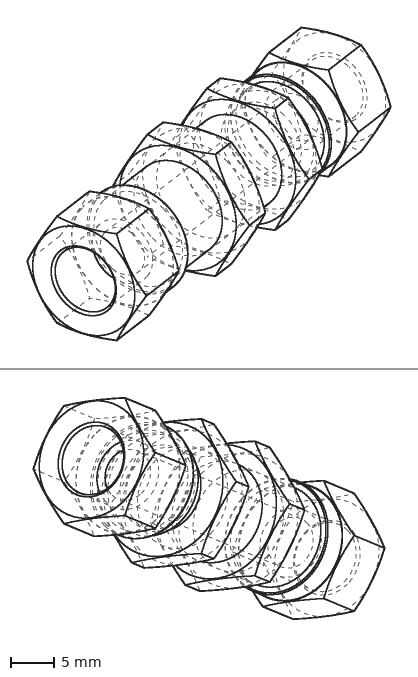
import cadquery as cq
import math

length = 55.15
half_length = length / 2

tube_diameter = 12.0
neck_diameter = 10.0
rear_thread_length = 2.4
relief_taper_length = (tube_diameter - neck_diameter) / 2
neck_length = 1.45

end_hex_flats = 14.0
end_hex_length = 8.5
collar_diameter = 13.75
collar_length = 3.5
collar_chamfer = 0.15

flange_flats = 16.0
flange_length = 4.45
locknut_length = 5.0
locknut_front = -half_length + 20.75

taper_end = half_length - end_hex_length - collar_length - rear_thread_length
taper_start = taper_end - relief_taper_length
neck_start = taper_start - neck_length

bevel_angle = math.radians(30)
bevel_circle_inset = 0.15

bore_diameter = 6.0
socket_diameter = 8.15
socket_depth = 8.5
socket_chamfer = 0.35


def cylinder(diameter, start, span):
    """Cylinder on the Y axis from y = start to y = start + span."""
    return cq.Workplane("XZ", origin=(0, start, 0)).circle(diameter / 2).extrude(-span)


def hexagon(flats, start, span):
    """Hexagonal prism along Y, corners on the X axis, bevelled at both faces."""
    corner_radius = flats / math.sqrt(3)
    face_radius = (flats - bevel_circle_inset) / 2
    drop = (corner_radius - face_radius) * math.tan(bevel_angle)
    end = start + span
    prism = cq.Workplane("XZ", origin=(0, start, 0)).polygon(6, 2 * corner_radius).extrude(-span)
    envelope = (
        cq.Workplane("XY")
        .moveTo(0, start)
        .lineTo(face_radius, start)
        .lineTo(corner_radius, start + drop)
        .lineTo(corner_radius, end - drop)
        .lineTo(face_radius, end)
        .lineTo(0, end)
        .close()
        .revolve(360, (0, 0, 0), (0, 1, 0))
    )
    return prism.intersect(envelope)


def end_fitting():
    """Front hexagon with a collar chamfered at its inner rim."""
    collar = cylinder(collar_diameter, -half_length + end_hex_length, collar_length)
    collar = collar.faces(">Y").edges().chamfer(collar_chamfer)
    return hexagon(end_hex_flats, -half_length, end_hex_length).union(collar)


def socket():
    """Front tube socket with a chamfered mouth."""
    mouth_radius = socket_diameter / 2 + socket_chamfer
    return (
        cq.Workplane("XY")
        .moveTo(0, -half_length)
        .lineTo(mouth_radius, -half_length)
        .lineTo(socket_diameter / 2, -half_length + socket_chamfer)
        .lineTo(socket_diameter / 2, -half_length + socket_depth)
        .lineTo(0, -half_length + socket_depth)
        .close()
        .revolve(360, (0, 0, 0), (0, 1, 0))
    )


def relief_groove():
    """Ring cut to the neck diameter, tapering out to the rear thread."""
    return (
        cq.Workplane("XY")
        .moveTo(neck_diameter / 2, neck_start)
        .lineTo(tube_diameter / 2, neck_start)
        .lineTo(tube_diameter / 2, taper_end)
        .lineTo(neck_diameter / 2, taper_start)
        .close()
        .revolve(360, (0, 0, 0), (0, 1, 0))
    )


def make_housing():
    """One-piece bulkhead body: tube, flange hexagon, both ends and the bores."""
    body = cylinder(tube_diameter, -half_length, length).cut(relief_groove())
    body = body.union(hexagon(flange_flats, neck_start - flange_length, flange_length))
    front_end = end_fitting()
    body = body.union(front_end).union(front_end.mirror("XZ"))
    body = body.cut(cylinder(bore_diameter, -half_length, length))
    front_socket = socket()
    return body.cut(front_socket).cut(front_socket.mirror("XZ"))


def make_locknut():
    """Loose hexagonal nut seated on the tube."""
    nut = hexagon(flange_flats, locknut_front, locknut_length)
    return nut.cut(cylinder(tube_diameter, locknut_front, locknut_length))


housing = make_housing()
locknut = make_locknut()
result = cq.Compound.makeCompound([housing.solids().val(), locknut.solids().val()])